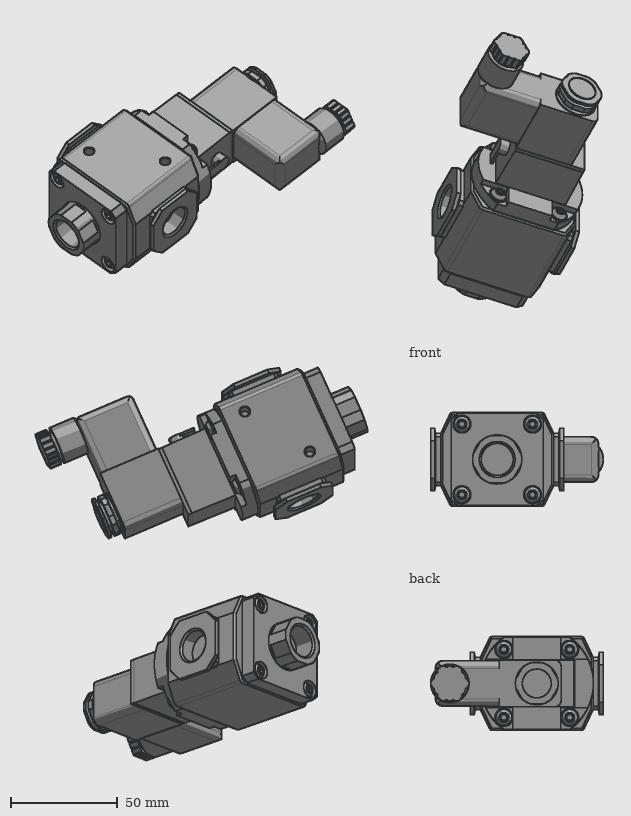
import cadquery as cq
import math


BODY_WIDTH = 53.0
BODY_TOP_WIDTH = 43.4
BODY_HEIGHT = 44.0
SIDE_FACE_HEIGHT = 23.8
BODY_FRONT = -22.8
BODY_BACK = 21.3
BODY_EDGE_RADIUS = 2.0
BODY_BEVEL = 1.0
TOP_HOLE_DIAMETER = 4.46
TOP_HOLE_BEVEL = 0.35
TOP_HOLE_DEPTH = 8.0
TOP_HOLE_X = 15.0
TOP_HOLE_Y = 10.0

BORE_DIAMETER = 14.95
BORE_BEVEL = 0.9
SIDE_BORE_DEPTH = 7.6
FRONT_BORE_DEPTH = 11.0
FLANGE_FACE = 31.15
FLANGE_RIM_THICKNESS = 1.9
FLANGE_TAPER = 0.45
FLANGE_SIZE = 29.2
FLANGE_CORNER = 5.9
NECK_SIZE = 24.7
NECK_CORNER = 1.65

COVER_SIZE = 43.0
COVER_CORNER_X = 3.1
COVER_CORNER_Z = 2.65
COVER_FRONT = -30.2
COVER_SCREW_OFFSET = 16.5
COUNTERBORE_DIAMETER = 8.3
COUNTERBORE_DEPTH = 3.1

HEAD_DIAMETER = 7.6
HEAD_RIM = 0.8
HEAD_HEIGHT = 2.8
HEAD_TOP_DIAMETER = 4.4
DOME_FULLNESS = 0.65
SOCKET_ACROSS_CORNERS = 3.2
SOCKET_DEPTH = 1.5

OUTLET_DIAMETER = 23.0
OUTLET_FLATS = 22.0
OUTLET_COLLAR = 1.1
OUTLET_END = -41.15

DISC_DIAMETER = 53.0
DISC_HEIGHT = 43.0
DISC_BACK = 29.2
POCKET_X = 11.15
POCKET_Z = 11.35
POCKET_DEPTH = 3.0
REAR_SCREW_X = 15.4
REAR_SCREW_Z = 15.9
WASHER_DIAMETER = 8.3

PILOT_WIDTH = 34.6
PILOT_HEIGHT = 22.0
PILOT_BACK = 53.1
PILOT_PLATE = 1.8
PILOT_PLATE_INSET = 0.1
PILOT_DRAFT = 0.35

PIN_DIAMETER = 7.0
PIN_Y = 42.2
LEVER_END = 22.1
LEVER_THICKNESS = 1.2
LEVER_WIDTH = 6.0
LEVER_BOTTOM = 33.0

COIL_LEFT = -11.35
COIL_RIGHT = 17.65
COIL_BACK = 82.7
COIL_RADIUS = 3.1
CONNECTOR_RIGHT = 47.4
CONNECTOR_FRONT = 53.7
CONNECTOR_HEIGHT = 21.2
CONNECTOR_RADIUS = 3.4

STEM_DIAMETER = 14.95
STEM_TIP_DIAMETER = 13.5
NUT_DIAMETER = 20.0
NUT_FLATS = 19.1
WASHER_BACK = 0.4
NUT_START = 2.0
NUT_END = 4.7
LOCK_START = 6.4
LOCK_END = 7.7
STEM_TIP_END = 8.2

GLAND_DIAMETER = 18.0
GLAND_X = 40.65
GLAND_SHOULDER = 94.7
GLAND_NECK_DIAMETER = 13.5
GLAND_CONE_DEPTH = 3.6
GLAND_CONE_DIAMETER = 12.0
CAP_FRONT = 96.4
CAP_BACK = 101.85
CAP_FLATS = 16.0
CAP_GROOVE_WIDTH = 0.7
CAP_GROOVE_DEPTH = 0.4

SIGNS = (-1, 1)
HEX_SIDES = 6
HEX_HALF_ANGLE = 180 / HEX_SIDES


def box(x0, x1, y0, y1, z0, z1):
    return cq.Workplane("XY").box(x1 - x0, y1 - y0, z1 - z0, centered=False).translate((x0, y0, z0))


def centred_box(x0, x1, y0, y1, height):
    return box(x0, x1, y0, y1, -height / 2, height / 2)


def rod(diameter, y0, y1, x=0, z=0):
    """Cylinder along Y."""
    return cq.Workplane("XZ", origin=(x, y1, z)).circle(diameter / 2).extrude(y1 - y0)


def hex_prism(across_flats, y0, y1, x=0, z=0):
    """Hexagon along Y with corners on +X and -X."""
    across_corners = across_flats / math.cos(math.radians(HEX_HALF_ANGLE))
    return cq.Workplane("XZ", origin=(x, y1, z)).polygon(HEX_SIDES, across_corners).extrude(y1 - y0)


def octagon(width, height, cut_u, cut_v):
    """Corner points of a rectangle with its four corners cut off."""
    u = width / 2
    v = height / 2
    return [
        (u, cut_v - v), (u, v - cut_v), (u - cut_u, v), (cut_u - u, v),
        (-u, v - cut_v), (-u, cut_v - v), (cut_u - u, -v), (u - cut_u, -v),
    ]


def make_bore(depth):
    """Port bore along Z, mouth at the origin and running down, with a bevelled mouth."""
    radius = BORE_DIAMETER / 2
    outline = [
        (0, 0), (radius + BORE_BEVEL, 0), (radius, -BORE_BEVEL), (radius, -depth), (0, -depth),
    ]
    return cq.Workplane("XZ").polyline(outline).close().revolve(360, (0, 0), (0, 1))


def make_body():
    length = BODY_BACK - BODY_FRONT
    slope_x = (BODY_WIDTH - BODY_TOP_WIDTH) / 2
    slope_z = (BODY_HEIGHT - SIDE_FACE_HEIGHT) / 2
    outline = octagon(BODY_WIDTH, BODY_HEIGHT, slope_x, slope_z)
    body = cq.Workplane("XZ", origin=(0, BODY_BACK, 0)).polyline(outline).close().extrude(length)
    body = body.faces("<Z or >Z").edges("|Y").fillet(BODY_EDGE_RADIUS)
    return body.faces("<Y or >Y").edges().chamfer(BODY_BEVEL)


def make_top_holes():
    outer = TOP_HOLE_DIAMETER + 2 * TOP_HOLE_BEVEL
    places = [(TOP_HOLE_X, TOP_HOLE_Y), (-TOP_HOLE_X, -TOP_HOLE_Y)]
    top = cq.Workplane("XY", origin=(0, 0, BODY_HEIGHT / 2)).pushPoints(places)
    hole = top.circle(TOP_HOLE_DIAMETER / 2).extrude(-TOP_HOLE_DEPTH)
    bevel_cone = cq.Solid.makeCone(TOP_HOLE_DIAMETER / 2, outer / 2, TOP_HOLE_BEVEL)
    for x, y in places:
        hole = hole.union(cq.Workplane(bevel_cone.translate((x, y, BODY_HEIGHT / 2 - TOP_HOLE_BEVEL))))
    return hole


def make_side_flange():
    """Octagonal port flange facing +X; its back tapers down to a narrower neck."""
    rim = octagon(FLANGE_SIZE, FLANGE_SIZE, FLANGE_CORNER, FLANGE_CORNER)
    neck = octagon(NECK_SIZE, NECK_SIZE, NECK_CORNER, NECK_CORNER)
    rim_back = FLANGE_FACE - FLANGE_RIM_THICKNESS
    taper_back = rim_back - FLANGE_TAPER
    plate = cq.Workplane("YZ", origin=(rim_back, 0, 0)).polyline(rim).close().extrude(FLANGE_RIM_THICKNESS)
    taper = (
        cq.Workplane("YZ", origin=(taper_back, 0, 0)).polyline(neck).close()
        .workplane(offset=FLANGE_TAPER).polyline(rim).close().loft(ruled=True)
    )
    stub = (
        cq.Workplane("YZ", origin=(BODY_WIDTH / 2 - BODY_BEVEL, 0, 0)).polyline(neck).close()
        .extrude(taper_back - BODY_WIDTH / 2 + BODY_BEVEL)
    )
    return plate.union(taper).union(stub)


def make_screw_head():
    """Domed screw head along -Y, seated at the origin, with a hexagon socket."""
    rim_radius = HEAD_DIAMETER / 2
    top_radius = HEAD_TOP_DIAMETER / 2
    bulge = (HEAD_HEIGHT - HEAD_RIM) * DOME_FULLNESS
    head = (
        cq.Workplane("XY").moveTo(0, 0).lineTo(rim_radius, 0).lineTo(rim_radius, -HEAD_RIM)
        .threePointArc(((rim_radius + top_radius) / 2, -HEAD_RIM - bulge), (top_radius, -HEAD_HEIGHT))
        .lineTo(0, -HEAD_HEIGHT).close().revolve(360, (0, 0), (0, 1))
    )
    socket = (
        cq.Workplane("XZ", origin=(0, SOCKET_DEPTH - HEAD_HEIGHT, 0))
        .transformed(rotate=(0, 0, HEX_HALF_ANGLE)).polygon(HEX_SIDES, SOCKET_ACROSS_CORNERS)
        .extrude(SOCKET_DEPTH)
    )
    return head.cut(socket)


def make_front_cover():
    outline = octagon(COVER_SIZE, COVER_SIZE, COVER_CORNER_X, COVER_CORNER_Z)
    cover = (
        cq.Workplane("XZ", origin=(0, BODY_FRONT, 0)).polyline(outline).close()
        .extrude(BODY_FRONT - COVER_FRONT)
    )
    seat = COVER_FRONT + COUNTERBORE_DEPTH
    head = make_screw_head()
    for sign_x in SIGNS:
        for sign_z in SIGNS:
            x = sign_x * COVER_SCREW_OFFSET
            z = sign_z * COVER_SCREW_OFFSET
            cover = cover.cut(rod(COUNTERBORE_DIAMETER, COVER_FRONT, seat, x, z))
            cover = cover.union(head.translate((x, seat, z)))
    return cover


def make_outlet():
    collar_end = COVER_FRONT - OUTLET_COLLAR
    spout = rod(OUTLET_DIAMETER, OUTLET_END, collar_end).intersect(
        hex_prism(OUTLET_FLATS, OUTLET_END, collar_end)
    )
    return spout.union(rod(OUTLET_DIAMETER, collar_end, COVER_FRONT))


def make_rear_flange():
    disc = rod(DISC_DIAMETER, BODY_BACK, DISC_BACK).intersect(
        centred_box(-DISC_DIAMETER, DISC_DIAMETER, BODY_BACK, DISC_BACK, DISC_HEIGHT)
    )
    seat = DISC_BACK - POCKET_DEPTH
    reach = DISC_DIAMETER / 2
    pocket = box(POCKET_X, reach, seat, DISC_BACK, POCKET_Z, reach)
    head = make_screw_head().rotate((0, 0, 0), (0, 0, 1), 180).translate((REAR_SCREW_X, seat, REAR_SCREW_Z))
    washer = rod(WASHER_DIAMETER, seat, seat + HEAD_RIM, REAR_SCREW_X, REAR_SCREW_Z)
    screw = head.union(washer)
    for mirror_planes in ([], ["YZ"], ["XY"], ["YZ", "XY"]):
        corner_pocket = pocket
        corner_screw = screw
        for plane in mirror_planes:
            corner_pocket = corner_pocket.mirror(plane)
            corner_screw = corner_screw.mirror(plane)
        disc = disc.cut(corner_pocket).union(corner_screw)
    return disc


def make_pilot():
    """Block with drafted sides, closed at the back by a slightly smaller plate."""
    half = PILOT_WIDTH / 2
    base_half = half + PILOT_DRAFT
    plate_front = PILOT_BACK - PILOT_PLATE
    outline = [
        (-base_half, DISC_BACK), (base_half, DISC_BACK), (half, plate_front), (-half, plate_front),
    ]
    floor = cq.Workplane("XY", origin=(0, 0, -PILOT_HEIGHT / 2))
    block = floor.polyline(outline).close().extrude(PILOT_HEIGHT)
    plate = centred_box(-half, half, plate_front, PILOT_BACK, PILOT_HEIGHT - 2 * PILOT_PLATE_INSET)
    return block.union(plate)


def make_override():
    pin_length = LEVER_END - PILOT_WIDTH / 2
    pin = cq.Workplane("YZ", origin=(PILOT_WIDTH / 2, PIN_Y, 0)).circle(PIN_DIAMETER / 2).extrude(pin_length)
    lever = centred_box(LEVER_END - LEVER_THICKNESS, LEVER_END, LEVER_BOTTOM, PIN_Y, LEVER_WIDTH)
    return pin.union(lever)


def make_coil():
    coil = centred_box(COIL_LEFT, COIL_RIGHT, PILOT_BACK, COIL_BACK, PILOT_HEIGHT)
    return coil.faces("<X").edges("|Y").fillet(COIL_RADIUS)


def make_connector():
    """Plug housing: rounded on every edge away from the coil, with mitred corners."""
    block = centred_box(COIL_RIGHT, CONNECTOR_RIGHT, CONNECTOR_FRONT, COIL_BACK, CONNECTOR_HEIGHT)
    rounded_along_x = block.edges("|X").fillet(CONNECTOR_RADIUS)
    rounded_along_y = block.faces(">X").edges("|Y").fillet(CONNECTOR_RADIUS)
    rounded_along_z = block.faces(">X").edges("|Z").fillet(CONNECTOR_RADIUS)
    return rounded_along_x.intersect(rounded_along_y).intersect(rounded_along_z)


def make_coil_nut():
    stack = rod(NUT_DIAMETER, COIL_BACK, COIL_BACK + WASHER_BACK)
    stack = stack.union(rod(STEM_DIAMETER, COIL_BACK, COIL_BACK + LOCK_END))
    stack = stack.union(rod(STEM_TIP_DIAMETER, COIL_BACK, COIL_BACK + STEM_TIP_END))
    for start, end in ((NUT_START, NUT_END), (LOCK_START, LOCK_END)):
        front = COIL_BACK + start
        back = COIL_BACK + end
        nut = rod(NUT_DIAMETER, front, back).intersect(hex_prism(NUT_FLATS, front, back))
        stack = stack.union(nut)
    return stack


def make_gland():
    """Cable gland: a cone sunk into the connector, a round barrel, a neck and the cap."""
    cone_radius = GLAND_CONE_DIAMETER / 2
    radius = GLAND_DIAMETER / 2
    cone_front = COIL_BACK - GLAND_CONE_DEPTH
    outline = [
        (0, cone_front), (cone_radius, cone_front), (radius, COIL_BACK), (radius, GLAND_SHOULDER),
        (0, GLAND_SHOULDER),
    ]
    gland = cq.Workplane("XY").polyline(outline).close().revolve(360, (0, 0), (0, 1))
    gland = gland.translate((GLAND_X, 0, 0))
    gland = gland.union(rod(GLAND_NECK_DIAMETER, GLAND_SHOULDER, CAP_FRONT, GLAND_X))
    return gland.union(make_gland_cap())


def make_gland_cap():
    """Hexagonal cap with two grip grooves splitting each face into thirds."""
    cap = hex_prism(CAP_FLATS, CAP_FRONT, CAP_BACK).intersect(rod(GLAND_DIAMETER, CAP_FRONT, CAP_BACK))
    groove_pitch = CAP_FLATS / math.sqrt(3) / 3
    for face in range(HEX_SIDES):
        for side in SIGNS:
            middle = side * groove_pitch / 2
            groove = box(
                middle - CAP_GROOVE_WIDTH / 2, middle + CAP_GROOVE_WIDTH / 2, CAP_FRONT, CAP_BACK,
                CAP_FLATS / 2 - CAP_GROOVE_DEPTH, CAP_FLATS,
            )
            cap = cap.cut(groove.rotate((0, 0, 0), (0, 1, 0), face * 360 / HEX_SIDES))
    return cap.translate((GLAND_X, 0, 0))


right_flange = make_side_flange()
valve = make_body().cut(make_top_holes())
for part in (
    right_flange, right_flange.mirror("YZ"), make_front_cover(), make_outlet(), make_rear_flange(),
    make_pilot(), make_override(), make_coil(), make_connector(), make_coil_nut(), make_gland(),
):
    valve = valve.union(part)

side_bore = make_bore(SIDE_BORE_DEPTH).rotate((0, 0, 0), (0, 1, 0), 90).translate((FLANGE_FACE, 0, 0))
front_bore = make_bore(FRONT_BORE_DEPTH).rotate((0, 0, 0), (1, 0, 0), 90).translate((0, OUTLET_END, 0))
result = valve.cut(side_bore).cut(side_bore.mirror("YZ")).cut(front_bore)